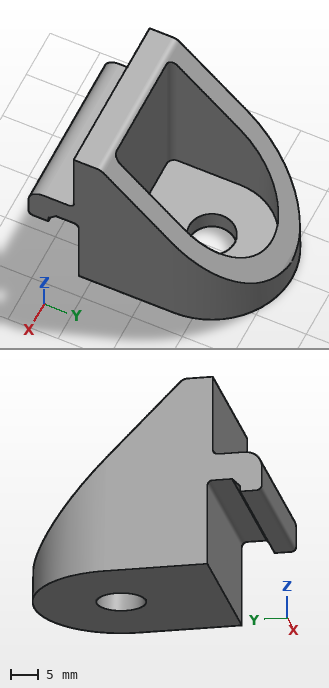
import cadquery as cq

width = 32.0
height = 36.0
back_y = width / 2
total_length = 45.0
hook_front_y = back_y - total_length
lower_face_y = -19.0
upper_face_y = -20.0
back_tilt = 1.0
slope_start_y = -14.6
slope_radius = 2.0

hook_top_z = 21.0
hook_underside_z = 16.0
hook_tip_z = 13.5
lip_inner_y = -25.0
lip_chamfer = 1.5
hook_radius = 3.0
small_radius = 1.0

wall = 4.0
floor_thickness = 4.0
pocket_front_y = -14.0
pocket_corner_radius = 1.5
hole_diameter = 9.0


def side_profile():
    """Side outline, extruded over the full width, with its edges rounded."""
    slope_end_z = height - (back_y - slope_start_y)
    points = [
        (back_y, 0),
        (back_y, slope_end_z),
        (slope_start_y, height),
        (upper_face_y, height),
        (upper_face_y, hook_top_z),
        (hook_front_y, hook_top_z),
        (hook_front_y, hook_tip_z),
        (lip_inner_y, hook_tip_z),
        (lip_inner_y, hook_underside_z - lip_chamfer),
        (lip_inner_y + lip_chamfer, hook_underside_z),
        (lower_face_y, hook_underside_z),
        (lower_face_y, 0),
    ]
    solid = cq.Workplane("YZ").polyline(points).close().extrude(width / 2, both=True)
    roundings = [
        (back_y, slope_end_z, slope_radius),
        (slope_start_y, height, slope_radius),
        (upper_face_y, hook_top_z, small_radius),
        (hook_front_y, hook_top_z, hook_radius),
        (hook_front_y, hook_tip_z, small_radius),
        (lower_face_y, hook_underside_z, small_radius),
    ]
    for y, z, radius in roundings:
        edge = solid.edges(cq.selectors.NearestToPointSelector((0, y, z)))
        solid = edge.fillet(radius)
    return solid


def round_ended_block(half_width, front_y, block_height):
    """Upright block with a straight front and a half-round back centred on the Z axis."""
    return (
        cq.Workplane("XY")
        .moveTo(-half_width, front_y)
        .lineTo(half_width, front_y)
        .lineTo(half_width, 0)
        .threePointArc((0, half_width), (-half_width, 0))
        .close()
        .extrude(block_height)
    )


def back_envelope():
    """Leaning round-backed block that trims the body, extended past its base, top and front."""
    margin = 4.5
    block = round_ended_block(width / 2, hook_front_y - margin, height + 2 * margin)
    block = block.translate((0, 0, -margin))
    return block.rotate((0, 0, 0), (1, 0, 0), back_tilt)


def pocket():
    block = round_ended_block(width / 2 - wall, pocket_front_y, height)
    block = block.edges("|Z and <Y").fillet(pocket_corner_radius)
    return block.translate((0, 0, floor_thickness))


hole = cq.Workplane("XY").circle(hole_diameter / 2).extrude(height)

result = side_profile().intersect(back_envelope()).cut(pocket()).cut(hole)